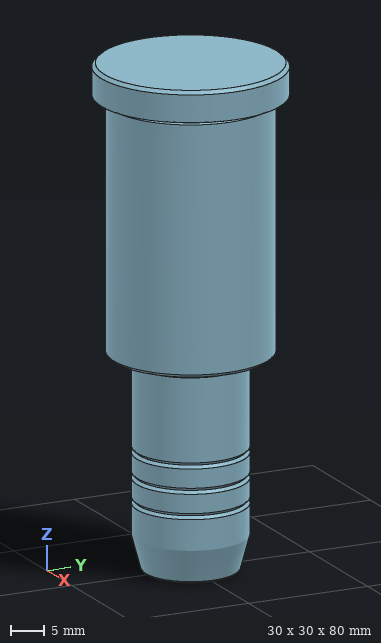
import cadquery as cq
import math

total_height = 80.0
head_height = 5.0
body_bottom = 34.1
shank_top = 32.9
cone_height = 5.5

head_diameter = 30.0
body_diameter = 25.9
shank_diameter = 18.0

head_chamfer = 0.6
body_chamfer = 0.5
tip_chamfer = 0.2
cone_angle = 15.0

shank_relief_depth = 0.5
head_relief_depth = 0.3
head_relief_height = 1.0
groove_width = 1.0
groove_depth = 0.5
lowest_groove = 11.0
groove_pitch = 4.0
groove_count = 3

head_radius = head_diameter / 2
body_radius = body_diameter / 2
shank_radius = shank_diameter / 2
head_bottom = total_height - head_height
body_top = head_bottom - head_relief_height
tip_radius = shank_radius - (cone_height - tip_chamfer) * math.tan(math.radians(cone_angle))


def stepped_pin():
    """Head, body, shank and tapered tip revolved about Z."""
    return (
        cq.Workplane("XZ")
        .lineTo(tip_radius - tip_chamfer, 0)
        .lineTo(tip_radius, tip_chamfer)
        .lineTo(shank_radius, cone_height)
        .lineTo(shank_radius, shank_top)
        .threePointArc(
            (shank_radius - shank_relief_depth, (shank_top + body_bottom) / 2),
            (shank_radius - shank_relief_depth, body_bottom),
        )
        .lineTo(body_radius - body_chamfer, body_bottom)
        .lineTo(body_radius, body_bottom + body_chamfer)
        .lineTo(body_radius, body_top)
        .lineTo(body_radius - head_relief_depth, body_top + head_relief_depth)
        .lineTo(body_radius - head_relief_depth, head_bottom)
        .lineTo(head_radius, head_bottom)
        .lineTo(head_radius, total_height - head_chamfer)
        .lineTo(head_radius - head_chamfer, total_height)
        .lineTo(0, total_height)
        .close()
        .revolve(360, (0, 0, 0), (0, 1, 0))
    )


def ring_groove(center_height):
    """Cutter for a V-shaped groove around the shank."""
    return (
        cq.Workplane("XZ")
        .moveTo(shank_radius, center_height - groove_width / 2)
        .lineTo(shank_radius - groove_depth, center_height)
        .lineTo(shank_radius, center_height + groove_width / 2)
        .close()
        .revolve(360, (0, 0, 0), (0, 1, 0))
    )


result = stepped_pin()
for index in range(groove_count):
    result = result.cut(ring_groove(lowest_groove + index * groove_pitch))